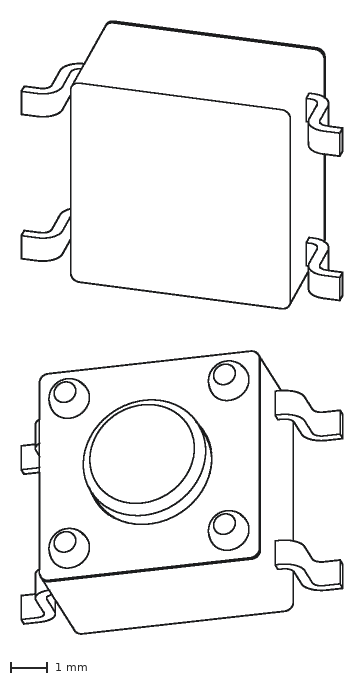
import cadquery as cq
import math

OVERALL_WIDTH = 8.99
OVERALL_DEPTH = 4.39
CASE_SIZE = 6.2
CASE_DEPTH = 3.605
CORNER_RADIUS = 0.25

COVER_THICKNESS = 0.1
COVER_OPENING_DIAMETER = 3.51
HOUSING_DEPTH = CASE_DEPTH - COVER_THICKNESS

BUTTON_DIAMETER = 3.45
BUTTON_CHAMFER = 0.25

CORNER_OFFSET = 2.25

RIVET_BASE_RADIUS = 0.56
RIVET_TOP_RADIUS = 0.31
RIVET_HEIGHT = 0.5

LEAD_THICKNESS = 0.31
LEAD_WIDTH = 0.72
LEAD_HEIGHT = 1.95
LEAD_LEG_OUTER_X = 3.785
BEND_INNER_RADIUS = 0.25
BEND_OUTER_RADIUS = BEND_INNER_RADIUS + LEAD_THICKNESS


def facing_plus_y(y):
    """Workplane at depth y whose extrusions grow toward +Y."""
    return cq.Workplane(cq.Plane(origin=(0, y, 0), xDir=(1, 0, 0), normal=(0, 1, 0)))


def rounded_square(y, depth):
    """Square block with rounded corners, starting at depth y."""
    block = facing_plus_y(y).rect(CASE_SIZE, CASE_SIZE).extrude(depth)
    return block.edges("|Y").fillet(CORNER_RADIUS)


def make_housing():
    return rounded_square(0, HOUSING_DEPTH)


def make_rivet_head(x, z):
    """Flat-topped dome whose flank is an arc centred on the dome axis."""
    centre_height = (
        RIVET_HEIGHT**2 + RIVET_TOP_RADIUS**2 - RIVET_BASE_RADIUS**2
    ) / (2 * RIVET_HEIGHT)
    sphere_radius = math.hypot(RIVET_BASE_RADIUS, centre_height)
    mid_height = RIVET_HEIGHT / 2
    mid_radius = math.sqrt(sphere_radius**2 - (mid_height - centre_height) ** 2)
    dome = (
        cq.Workplane("XY")
        .lineTo(RIVET_BASE_RADIUS, 0)
        .threePointArc((mid_radius, mid_height), (RIVET_TOP_RADIUS, RIVET_HEIGHT))
        .lineTo(0, RIVET_HEIGHT)
        .close()
        .revolve(360, (0, 0), (0, 1))
    )
    return dome.translate((x, CASE_DEPTH, z))


def make_cover():
    """Thin plate with an opening for the button and a rivet head at each corner."""
    cover = rounded_square(HOUSING_DEPTH, COVER_THICKNESS)
    opening = facing_plus_y(HOUSING_DEPTH).circle(COVER_OPENING_DIAMETER / 2).extrude(COVER_THICKNESS)
    cover = cover.cut(opening)
    for x_side in (-1, 1):
        for z_side in (-1, 1):
            cover = cover.union(make_rivet_head(x_side * CORNER_OFFSET, z_side * CORNER_OFFSET))
    return cover


def make_button():
    """Chamfered plunger standing on the housing inside the cover opening."""
    plunger = (
        facing_plus_y(HOUSING_DEPTH)
        .circle(BUTTON_DIAMETER / 2)
        .extrude(OVERALL_DEPTH - HOUSING_DEPTH)
    )
    return plunger.faces(">Y").chamfer(BUTTON_CHAMFER)


def make_lead(x_side, z):
    """Gull-wing lead from the housing side down to a foot level with the mounting face."""
    case_x = CASE_SIZE / 2
    foot_x = OVERALL_WIDTH / 2
    leg_inner_x = LEAD_LEG_OUTER_X - LEAD_THICKNESS
    shoulder_bend_x = LEAD_LEG_OUTER_X - BEND_OUTER_RADIUS
    shoulder_bend_y = LEAD_HEIGHT - BEND_OUTER_RADIUS
    foot_bend_x = leg_inner_x + BEND_OUTER_RADIUS
    foot_bend_y = BEND_OUTER_RADIUS
    lead = (
        cq.Workplane("XY")
        .moveTo(case_x, LEAD_HEIGHT)
        .lineTo(shoulder_bend_x, LEAD_HEIGHT)
        .radiusArc((LEAD_LEG_OUTER_X, shoulder_bend_y), BEND_OUTER_RADIUS)
        .lineTo(LEAD_LEG_OUTER_X, foot_bend_y)
        .radiusArc((foot_bend_x, LEAD_THICKNESS), -BEND_INNER_RADIUS)
        .lineTo(foot_x, LEAD_THICKNESS)
        .lineTo(foot_x, 0)
        .lineTo(foot_bend_x, 0)
        .radiusArc((leg_inner_x, foot_bend_y), BEND_OUTER_RADIUS)
        .lineTo(leg_inner_x, shoulder_bend_y)
        .radiusArc((shoulder_bend_x, LEAD_HEIGHT - LEAD_THICKNESS), -BEND_INNER_RADIUS)
        .lineTo(case_x, LEAD_HEIGHT - LEAD_THICKNESS)
        .close()
        .extrude(LEAD_WIDTH / 2, both=True)
    )
    if x_side < 0:
        lead = lead.mirror("YZ")
    return lead.translate((0, 0, z))


housing = make_housing()
cover = make_cover()
button = make_button()
leads = [
    make_lead(x_side, z_side * CORNER_OFFSET)
    for x_side in (-1, 1)
    for z_side in (-1, 1)
]

result = cq.Compound.makeCompound(
    [housing.val(), cover.solids().val(), button.val(), *[lead.val() for lead in leads]]
)